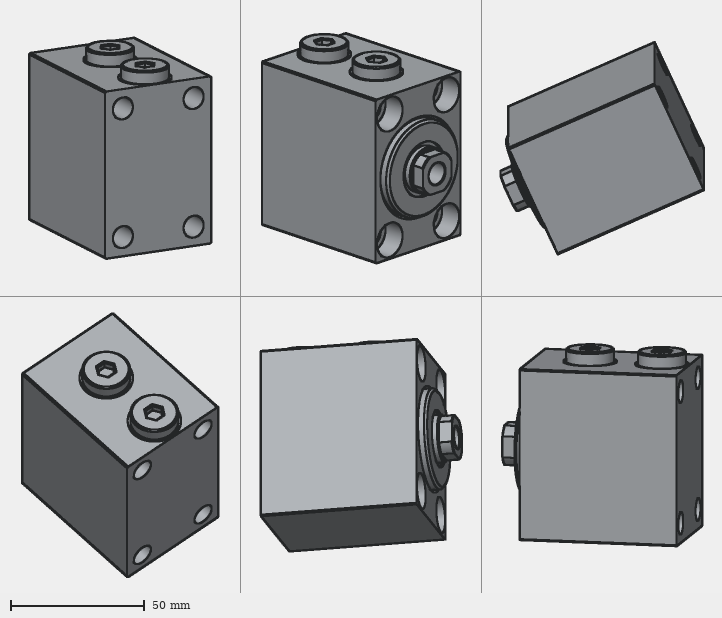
import cadquery as cq
import math


housing_length = 60.0
housing_width = 45.0
housing_height = 65.0
edge_chamfer = 0.5

hole_pitch_y = 30.0
hole_pitch_z = 50.0
hole_diameter = 8.5
counterbore_diameter = 13.5
counterbore_depth = 9.0

gland_diameter = 38.0
gland_projection = 3.0
gland_chamfer = 1.0
gland_seat_depth = 12.0
bore_mouth_chamfer = 1.0
gland_recess_diameter = 21.5
gland_recess_depth = 1.0

rod_diameter = 18.0
rod_projection = 10.0
rod_chamfer = 0.5
rod_head_diameter = 17.0
rod_head_length = 5.0
rod_head_flats = 15.0
rod_head_chamfer = 0.25
rod_hole_diameter = 8.5
rod_hole_depth = 15.0
rod_hole_chamfer = 0.25
drill_point_angle = 118.0

plug_positions_x = (22.0, 49.5)
plug_diameter = 18.0
plug_projection = 4.9
plug_chamfer = 0.6
spotface_diameter = 20.0
spotface_depth = 0.2
socket_across_flats = 6.0
socket_depth = 3.0
socket_chamfer = 0.5
socket_chamfer_angle = 45.0
socket_sides = 6

port_face_z = housing_height / 2
spotface_floor_z = port_face_z - spotface_depth
plug_top_z = port_face_z + plug_projection
rod_tip_x = -rod_projection
rod_shoulder_x = rod_tip_x + rod_head_length
gland_front_x = -gland_projection


def cylinder_x(diameter, start_x, end_x):
    """Solid cylinder on the rod axis between two X positions."""
    return cq.Workplane("YZ", origin=(start_x, 0, 0)).circle(diameter / 2).extrude(end_x - start_x)


def cone_x(start_diameter, start_x, end_diameter, end_x):
    """Solid cone or frustum on the rod axis, from start_x toward +X."""
    cone = cq.Solid.makeCone(
        start_diameter / 2,
        end_diameter / 2,
        end_x - start_x,
        pnt=cq.Vector(start_x, 0, 0),
        dir=cq.Vector(1, 0, 0),
    )
    return cq.Workplane(obj=cone)


def make_housing():
    block = cq.Workplane("XY").box(housing_length, housing_width, housing_height)
    block = block.translate((housing_length / 2, 0, 0)).edges("|X").chamfer(edge_chamfer)

    mounting = cq.Workplane("YZ").rect(hole_pitch_y, hole_pitch_z, forConstruction=True).vertices()
    block = block.cut(mounting.circle(hole_diameter / 2).extrude(housing_length))
    block = block.cut(mounting.circle(counterbore_diameter / 2).extrude(counterbore_depth))

    block = block.cut(cylinder_x(gland_diameter, 0, gland_seat_depth))
    mouth_diameter = gland_diameter + 2 * bore_mouth_chamfer
    block = block.cut(cone_x(mouth_diameter, 0, gland_diameter, bore_mouth_chamfer))

    for plug_x in plug_positions_x:
        spotface = cq.Workplane("XY", origin=(plug_x, 0, spotface_floor_z))
        block = block.cut(spotface.circle(spotface_diameter / 2).extrude(spotface_depth))
    return block


def make_gland():
    gland = cylinder_x(gland_diameter, gland_front_x, gland_seat_depth)
    gland = gland.faces("<X").chamfer(gland_chamfer)
    gland = gland.cut(cylinder_x(rod_diameter, gland_front_x, gland_seat_depth))
    recess_floor_x = gland_front_x + gland_recess_depth
    return gland.cut(cylinder_x(gland_recess_diameter, gland_front_x, recess_floor_x))


def make_rod():
    shank = cylinder_x(rod_diameter, rod_shoulder_x, gland_seat_depth)
    shank = shank.faces("<X").chamfer(rod_chamfer)

    head = cylinder_x(rod_head_diameter, rod_tip_x, rod_shoulder_x)
    head = head.faces("<X").chamfer(rod_head_chamfer)
    flats = cq.Workplane("YZ", origin=(rod_tip_x, 0, 0)).rect(rod_head_flats, rod_head_flats)
    head = head.intersect(flats.extrude(rod_head_length))
    rod = shank.union(head)

    hole_end_x = rod_tip_x + rod_hole_depth
    point_length = rod_hole_diameter / 2 / math.tan(math.radians(drill_point_angle / 2))
    rod = rod.cut(cylinder_x(rod_hole_diameter, rod_tip_x, hole_end_x))
    rod = rod.cut(cone_x(rod_hole_diameter, hole_end_x, 0, hole_end_x + point_length))
    hole_mouth_diameter = rod_hole_diameter + 2 * rod_hole_chamfer
    return rod.cut(
        cone_x(hole_mouth_diameter, rod_tip_x, rod_hole_diameter, rod_tip_x + rod_hole_chamfer)
    )


def hexagon(across_flats, plug_x, z):
    """Socket outline: a hexagon with two flats square to X and two corners on Y."""
    corner_diameter = across_flats / math.cos(math.pi / socket_sides)
    plane = cq.Workplane("XY", origin=(plug_x, 0, z)).transformed(rotate=(0, 0, 90))
    return plane.polygon(socket_sides, corner_diameter)


def make_plug(plug_x):
    plug = cq.Workplane("XY", origin=(plug_x, 0, spotface_floor_z)).circle(plug_diameter / 2)
    plug = plug.extrude(plug_top_z - spotface_floor_z).faces(">Z").chamfer(plug_chamfer)

    plug = plug.cut(hexagon(socket_across_flats, plug_x, plug_top_z).extrude(-socket_depth))
    socket_mouth = hexagon(socket_across_flats + 2 * socket_chamfer, plug_x, plug_top_z)
    return plug.cut(socket_mouth.extrude(-socket_chamfer, taper=socket_chamfer_angle))


housing = make_housing()
gland = make_gland()
rod = make_rod()
plugs = [make_plug(plug_x) for plug_x in plug_positions_x]

result = cq.Compound.makeCompound(
    [housing.val(), gland.val(), rod.val(), *[plug.val() for plug in plugs]]
)